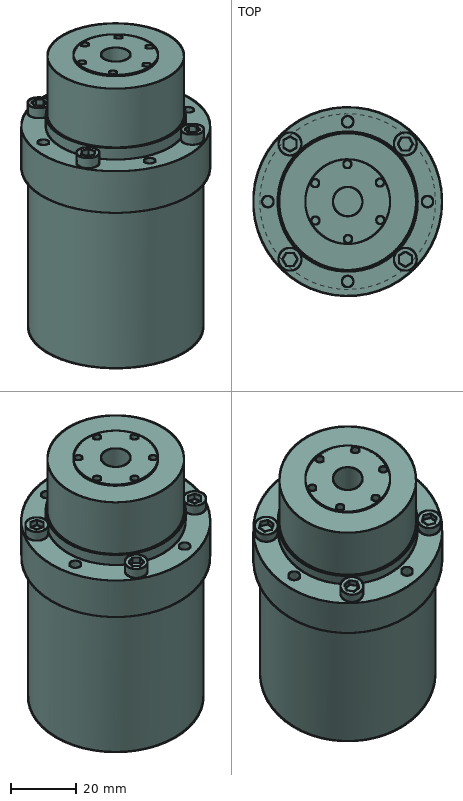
import cadquery as cq
import math

overall_height = 95.0
pad_height = 0.5
drum_height = 20.5
collar_height = 4.0
flange_height = 14.5
drum_top = overall_height - pad_height
collar_top = drum_top - drum_height
flange_top = collar_top - collar_height
body_height = flange_top - flange_height

body_diameter = 54.0
flange_diameter = 58.0
collar_diameter = 43.0
drum_diameter = 42.0
pad_diameter = 26.0

bore_diameter = 9.0
bore_depth = pad_height + drum_height

pad_hole_count = 6
pad_hole_first_angle = 90.5
pad_hole_diameter = 2.5
pad_hole_depth = 5.7
pad_hole_ring_radius = 11.5

flange_hole_count = 4
flange_hole_first_angle = 0.0
flange_hole_diameter = 3.5
flange_hole_depth = flange_height
flange_hole_ring_radius = 24.5

screw_count = 4
screw_first_angle = 45.0
head_diameter = 7.0
head_height = 3.5
socket_flats = 4.0
socket_corners = socket_flats / math.cos(math.radians(30))
socket_depth = 2.1
screw_ring_radius = (collar_diameter + head_diameter) / 2


def disc(diameter, bottom, height):
    """Cylinder on the Z axis."""
    return cq.Workplane("XY").workplane(offset=bottom).circle(diameter / 2).extrude(height)


def hole_ring(count, first_angle, ring_radius, diameter, top, depth):
    """Cutting cylinders reaching down from a face, equally spaced around the Z axis."""
    return (
        cq.Workplane("XY")
        .workplane(offset=top)
        .polarArray(ring_radius, first_angle, 360, count)
        .circle(diameter / 2)
        .extrude(-depth)
    )


def make_housing():
    """Stepped round housing with a blind bore and two rings of blind holes."""
    housing = (
        disc(body_diameter, 0, body_height)
        .union(disc(flange_diameter, body_height, flange_height))
        .union(disc(collar_diameter, flange_top, collar_height))
        .union(disc(drum_diameter, collar_top, drum_height))
        .union(disc(pad_diameter, drum_top, pad_height))
    )
    bore = disc(bore_diameter, overall_height - bore_depth, bore_depth)
    pad_holes = hole_ring(
        pad_hole_count,
        pad_hole_first_angle,
        pad_hole_ring_radius,
        pad_hole_diameter,
        overall_height,
        pad_hole_depth,
    )
    flange_holes = hole_ring(
        flange_hole_count,
        flange_hole_first_angle,
        flange_hole_ring_radius,
        flange_hole_diameter,
        flange_top,
        flange_hole_depth,
    )
    return housing.cut(bore).cut(pad_holes).cut(flange_holes)


def make_screw_head(angle):
    """Cylindrical head with a hexagon socket, turned to its place on the flange."""
    head = disc(head_diameter, flange_top, head_height)
    socket = (
        cq.Workplane("XY")
        .workplane(offset=flange_top + head_height)
        .polygon(6, socket_corners)
        .extrude(-socket_depth)
    )
    turn = angle - screw_first_angle
    x = screw_ring_radius * math.cos(math.radians(angle))
    y = screw_ring_radius * math.sin(math.radians(angle))
    return head.cut(socket).rotate((0, 0, 0), (0, 0, 1), turn).translate((x, y, 0))


housing = make_housing()
screw_heads = []
for index in range(screw_count):
    screw_heads.append(make_screw_head(screw_first_angle + index * 360 / screw_count))

result = cq.Compound.makeCompound([housing.val(), *[head.val() for head in screw_heads]])